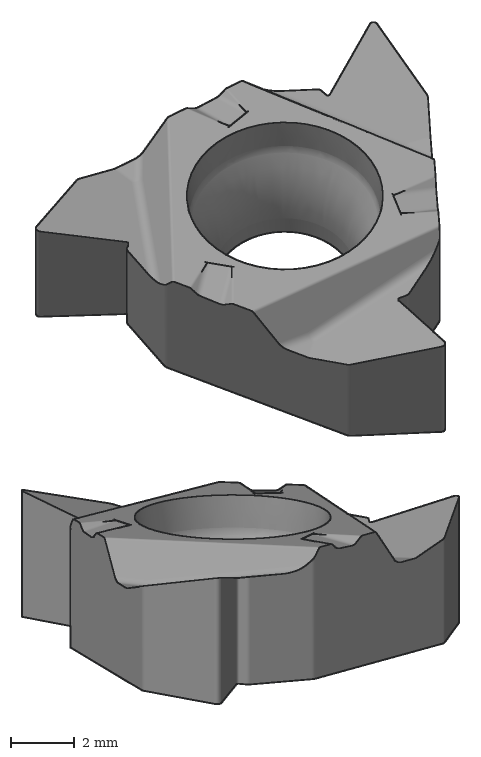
import cadquery as cq
import math

LOBES = 3
LOBE_STEP = 360 / LOBES
THICKNESS = 4.19

SIDE_WALL = (180, 4.76)
EDGE_WALL = (210, 6.44)
FLANK_WALL = (329, 1.04)
RELIEF_WALL = (225, 4.53)
SEAT_WALL = (270, 5.02)
NEXT_SIDE_WALL = (SIDE_WALL[0] + LOBE_STEP, SIDE_WALL[1])

BODY_CORNER_RADIUS = 0.3
TIP_RADIUS = 0.14
RELIEF_INNER_RADIUS = 0.07
RELIEF_OUTER_RADIUS = 0.16

RAKE_ANGLE = 15
RAKE_DOWNHILL = 90
TIP_POINT = (-3.18, -7.21, 4.05)
GULLET_WALL_ANGLE = 53.7
GULLET_WALL_HEADING = -32
GULLET_WALL_POINT = (-SIDE_WALL[1], -1.25, THICKNESS)
FLOOR_ANGLE = 4
FLOOR_DOWNHILL = 0
FLOOR_POINT = (-SIDE_WALL[1], -3.18, 2.99)
GULLET_RADIUS = 0.34
GULLET_RIM_RADIUS = 0.12

POCKET_END = (-3.48, 0.55)
POCKET_END_DEPTH = 0.01
POCKET_HEADING = 194
POCKET_SLOPE = 9
POCKET_FLOOR_WIDTH = 0.8
POCKET_WALL_ANGLE = 35
POCKET_FLOOR_RADIUS = 0.3
POCKET_RIM_RADIUS = 0.12
POCKET_CUT_HEIGHT = 0.68
POCKET_CUT_LENGTH = 2.73

BORE_RADIUS = 4.4 / 2
HEAD_TOP_RADIUS = 3.07
HEAD_SEAT_RADIUS = 2.99
HEAD_DEPTH = 1.16
SEAT_ARC_RADIUS = 4.0
SEAT_BLEND_RADIUS = 0.45

CUTTER_SIZE = 40.95
TOLERANCE = 0.0001


def rotated(point, angle):
    """Turn a point about the Z axis by an angle in degrees."""
    turn = math.radians(angle)
    x, y = point
    return (x * math.cos(turn) - y * math.sin(turn), x * math.sin(turn) + y * math.cos(turn))


def corner(wall_a, wall_b):
    """Point where two straight walls meet."""
    angle_a, angle_b = math.radians(wall_a[0]), math.radians(wall_b[0])
    cross = math.sin(angle_b - angle_a)
    x = (wall_a[1] * math.sin(angle_b) - wall_b[1] * math.sin(angle_a)) / cross
    y = (wall_b[1] * math.cos(angle_a) - wall_a[1] * math.cos(angle_b)) / cross
    return (x, y)


def on_every_lobe(shape):
    """Copies of a shape, one for each lobe."""
    return [shape.rotate((0, 0, 0), (0, 0, 1), i * LOBE_STEP) for i in range(LOBES)]


def make_body():
    """Upright prism of the whole outline with its corners rounded."""
    lobe_corners = [
        (corner(SIDE_WALL, EDGE_WALL), BODY_CORNER_RADIUS),
        (corner(EDGE_WALL, FLANK_WALL), TIP_RADIUS),
        (corner(FLANK_WALL, RELIEF_WALL), RELIEF_INNER_RADIUS),
        (corner(RELIEF_WALL, SEAT_WALL), RELIEF_OUTER_RADIUS),
        (corner(SEAT_WALL, NEXT_SIDE_WALL), BODY_CORNER_RADIUS),
    ]
    corners = []
    for i in range(LOBES):
        corners += [(rotated(point, i * LOBE_STEP), radius) for point, radius in lobe_corners]
    body = cq.Workplane("XY").polyline([point for point, _ in corners]).close().extrude(THICKNESS)
    for (x, y), radius in corners:
        upright = cq.selectors.NearestToPointSelector((x, y, THICKNESS / 2))
        body = body.edges("|Z").edges(upright).fillet(radius)
    return body


def space_above(point, downhill, angle):
    """Everything above a plane through a point that falls at an angle towards the downhill heading."""
    heading, tilt = math.radians(downhill), math.radians(angle)
    normal = (math.cos(heading) * math.sin(tilt), math.sin(heading) * math.sin(tilt), math.cos(tilt))
    level = (-math.sin(heading), math.cos(heading), 0)
    plane = cq.Plane(origin=point, xDir=level, normal=normal)
    return cq.Workplane(plane).rect(CUTTER_SIZE, CUTTER_SIZE).extrude(CUTTER_SIZE)


def make_gullet():
    """Space above the rake face, the raised floor and the steep wall, with rounded valleys."""
    rake = space_above(TIP_POINT, RAKE_DOWNHILL, RAKE_ANGLE)
    wall = space_above(GULLET_WALL_POINT, GULLET_WALL_HEADING - 90, GULLET_WALL_ANGLE)
    floor = space_above(FLOOR_POINT, FLOOR_DOWNHILL, FLOOR_ANGLE)
    gullet = rake.intersect(wall).intersect(floor)
    lowest = gullet.vertices("<Z").val()
    valleys = [edge for edge in gullet.edges().vals() if edge.distance(lowest) < TOLERANCE]
    return gullet.newObject(valleys).fillet(GULLET_RADIUS)


def round_gullet_rims(body):
    """Ease the edges where the steep gullet walls reach the top face."""
    for i in range(LOBES):
        rim = rotated((1, 0), GULLET_WALL_HEADING + i * LOBE_STEP)
        body = body.faces(">Z").edges(cq.selectors.ParallelDirSelector(cq.Vector(*rim, 0), TOLERANCE))
        body = body.fillet(GULLET_RIM_RADIUS)
    return body


def pocket_plane():
    """Plane of the pocket end: x across the pocket, y up its end wall, z outward along its floor."""
    heading, slope = math.radians(POCKET_HEADING), math.radians(POCKET_SLOPE)
    outward = (math.cos(heading) * math.cos(slope), math.sin(heading) * math.cos(slope), -math.sin(slope))
    across = (-math.sin(heading), math.cos(heading), 0)
    return cq.Plane(origin=(*POCKET_END, THICKNESS - POCKET_END_DEPTH), xDir=across, normal=outward)


def pocket_half_width(height):
    """Half the distance between the flared pocket walls at a height above the floor."""
    return POCKET_FLOOR_WIDTH / 2 + height / math.tan(math.radians(POCKET_WALL_ANGLE))


def make_pocket_trough():
    """Trough with flared walls and rounded floor edges; it deepens towards the side wall."""
    plane = pocket_plane()
    half_floor = pocket_half_width(0)
    half_mouth = pocket_half_width(POCKET_CUT_HEIGHT)
    section = [
        (-half_floor, 0),
        (half_floor, 0),
        (half_mouth, POCKET_CUT_HEIGHT),
        (-half_mouth, POCKET_CUT_HEIGHT),
    ]
    trough = cq.Workplane(plane).polyline(section).close().extrude(POCKET_CUT_LENGTH)
    for side in (-1, 1):
        floor_edge = plane.toWorldCoords((side * half_floor, 0, POCKET_CUT_LENGTH / 2))
        nearest = cq.selectors.NearestToPointSelector(floor_edge.toTuple())
        trough = trough.edges(nearest).fillet(POCKET_FLOOR_RADIUS)
    return trough


def make_pocket_rim(side):
    """Sliver that rounds the edge between the top face and the pocket wall on one side (-1 or 1)."""
    plane = pocket_plane()
    slope = math.radians(POCKET_SLOPE)

    def mouth_point(distance):
        height = (POCKET_END_DEPTH + distance * math.sin(slope)) / math.cos(slope)
        return plane.toWorldCoords((side * pocket_half_width(height), height, distance))

    start = mouth_point(0)
    along = mouth_point(POCKET_CUT_LENGTH) - start
    level = cq.Vector(0, 0, 1).cross(along)
    rim_plane = cq.Plane(origin=start, xDir=level, normal=along)
    turn = math.acos(math.cos(math.radians(POCKET_WALL_ANGLE)) * math.cos(slope))
    tangent = POCKET_RIM_RADIUS * math.tan(turn / 2)

    def arc_point(angle):
        x = tangent - POCKET_RIM_RADIUS * math.sin(angle)
        return (side * x, POCKET_RIM_RADIUS * (math.cos(angle) - 1))

    inner = arc_point(turn)
    return (
        cq.Workplane(rim_plane)
        .moveTo(*inner)
        .threePointArc(arc_point(turn / 2), arc_point(0))
        .lineTo(side * tangent, tangent)
        .lineTo(inner[0], tangent)
        .close()
        .extrude(along.Length)
    )


def make_screw_hole():
    """Bore, curved seat that runs tangent into the bore, and tapered head recess."""
    seat_angle = math.acos(1 - (HEAD_SEAT_RADIUS - BORE_RADIUS) / SEAT_ARC_RADIUS)
    head_bottom = THICKNESS - HEAD_DEPTH
    seat_bottom = head_bottom - SEAT_ARC_RADIUS * math.sin(seat_angle)
    seat_middle = (
        BORE_RADIUS + SEAT_ARC_RADIUS * (1 - math.cos(seat_angle / 2)),
        seat_bottom + SEAT_ARC_RADIUS * math.sin(seat_angle / 2),
    )
    profile = (
        cq.Workplane("XZ")
        .lineTo(BORE_RADIUS, 0)
        .lineTo(BORE_RADIUS, seat_bottom)
        .threePointArc(seat_middle, (HEAD_SEAT_RADIUS, head_bottom))
        .lineTo(HEAD_TOP_RADIUS, THICKNESS)
        .lineTo(0, THICKNESS)
        .close()
    )
    hole = profile.revolve(360, (0, 0), (0, 1))
    seam = cq.selectors.NearestToPointSelector((0, 0, head_bottom))
    return hole.edges("%CIRCLE").edges(seam).fillet(SEAT_BLEND_RADIUS)


result = make_body()
for gullet in on_every_lobe(make_gullet()):
    result = result.cut(gullet)
result = round_gullet_rims(result)
for pocket_part in (make_pocket_trough(), make_pocket_rim(-1), make_pocket_rim(1)):
    for cutter in on_every_lobe(pocket_part):
        result = result.cut(cutter)
result = result.cut(make_screw_hole())